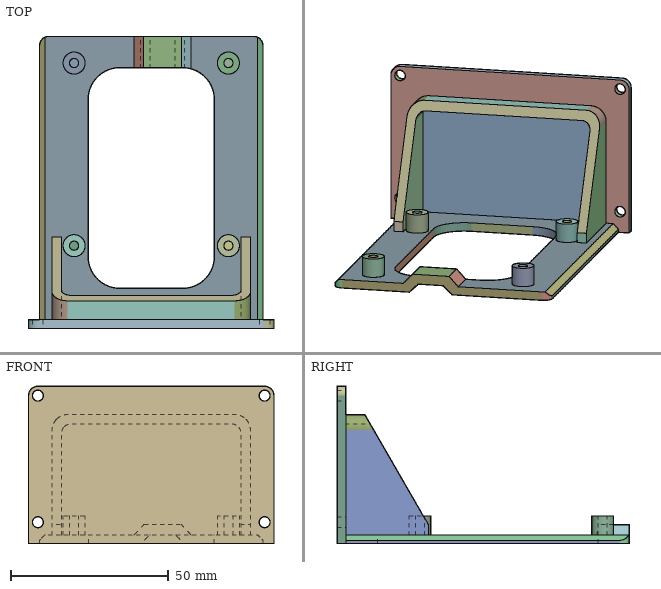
import cadquery as cq
import math


sheet = 2.8

panel_width = 78.0
panel_height = 50.0
panel_corner_radius = 3.0
panel_hole_diameter = 3.4
panel_hole_inset = 3.0
panel_hole_pitch_z = 40.2

base_width = 71.0
base_length = 90.0
base_edge_chamfer = 1.75
base_corner_radius = 3.0
base_back_y = sheet + base_length

window_margin = 10.0
window_width = 40.0
window_length = base_length - 2 * window_margin
window_corner_radius = 10.0
window_middle_y = sheet + base_length / 2

standoff_diameter = 7.0
standoff_bore = 2.9
standoff_height = 6.0
standoff_pitch_x = 49.0
standoff_pitch_y = 58.0
standoff_back_inset = 8.5
standoff_back_y = base_back_y - standoff_back_inset
standoff_front_y = standoff_back_y - standoff_pitch_y

bridge_middle_x = 3.6
bridge_top_width = 12.0
bridge_rise = 3.2
channel_top_width = 8.0
channel_depth = sheet
flank_spread = 3.0

hood_width = 63.0
hood_top_z = 41.0
hood_wall = 3.0
hood_corner_radius = 5.0
hood_inner_radius = 3.0
hood_toe_y = 29.0
hood_toe_z = 6.0
hood_slope_degrees = 60.0


def make_panel():
    panel = cq.Workplane("XY").box(panel_width, sheet, panel_height, centered=(True, False, False))
    panel = panel.edges("|Y and >Z").fillet(panel_corner_radius)
    hole_x = panel_width / 2 - panel_hole_inset
    upper_z = panel_height - panel_hole_inset
    lower_z = upper_z - panel_hole_pitch_z
    spots = [(x, z) for x in (-hole_x, hole_x) for z in (lower_z, upper_z)]
    holes = cq.Workplane("XZ").pushPoints(spots).circle(panel_hole_diameter / 2).extrude(-sheet)
    return panel.cut(holes)


def make_base():
    base = (
        cq.Workplane("XY")
        .box(base_width, base_length, sheet, centered=(True, False, False))
        .translate((0, sheet, 0))
    )
    base = base.edges("|Y and >Z").chamfer(base_edge_chamfer)
    return base.edges("|Z and >Y").fillet(base_corner_radius)


def make_window_cutter():
    cutter_height = panel_height
    cutter = cq.Workplane("XY").box(window_width, window_length, cutter_height, centered=(True, True, False))
    cutter = cutter.edges("|Z").fillet(window_corner_radius)
    return cutter.translate((0, window_middle_y, 0))


def make_flared_prism(top_width, foot_z, height):
    """Prism along Y across the back bar of the base, wider at its foot than at its top."""
    top_half = top_width / 2
    foot_half = top_half + flank_spread
    outline = [
        (bridge_middle_x - foot_half, foot_z),
        (bridge_middle_x - top_half, foot_z + height),
        (bridge_middle_x + top_half, foot_z + height),
        (bridge_middle_x + foot_half, foot_z),
    ]
    prism_length = window_margin + window_corner_radius
    back_plane = cq.Workplane("XZ", origin=(0, base_back_y, 0))
    return back_plane.polyline(outline).close().extrude(prism_length)


def make_standoffs():
    spots = [
        (x, y)
        for x in (-standoff_pitch_x / 2, standoff_pitch_x / 2)
        for y in (standoff_front_y, standoff_back_y)
    ]
    plane = cq.Workplane("XY", origin=(0, 0, sheet)).pushPoints(spots)
    return plane.circle(standoff_diameter / 2).circle(standoff_bore / 2).extrude(standoff_height)


def make_arch_block(width, top_z, radius):
    """Block from the base plane up, with its two upper edges rounded."""
    block = cq.Workplane("XY").box(width, hood_toe_y, top_z, centered=(True, False, False))
    return block.edges("|Y and >Z").fillet(radius)


def make_hood():
    top_y = hood_toe_y - (hood_top_z - hood_toe_z) / math.tan(math.radians(hood_slope_degrees))
    side_outline = [
        (sheet, sheet),
        (hood_toe_y, sheet),
        (hood_toe_y, hood_toe_z),
        (top_y, hood_top_z),
        (sheet, hood_top_z),
    ]
    wedge = cq.Workplane("YZ").polyline(side_outline).close().extrude(hood_width / 2, both=True)

    outer = make_arch_block(hood_width, hood_top_z, hood_corner_radius)
    inner = make_arch_block(hood_width - 2 * hood_wall, hood_top_z - hood_wall, hood_inner_radius)
    return wedge.intersect(outer.cut(inner))


bridge = make_flared_prism(bridge_top_width, sheet, bridge_rise)
channel = make_flared_prism(channel_top_width, 0, channel_depth)

base_plate = make_base().union(bridge).cut(channel).cut(make_window_cutter())
result = make_panel().union(base_plate).union(make_hood()).union(make_standoffs())